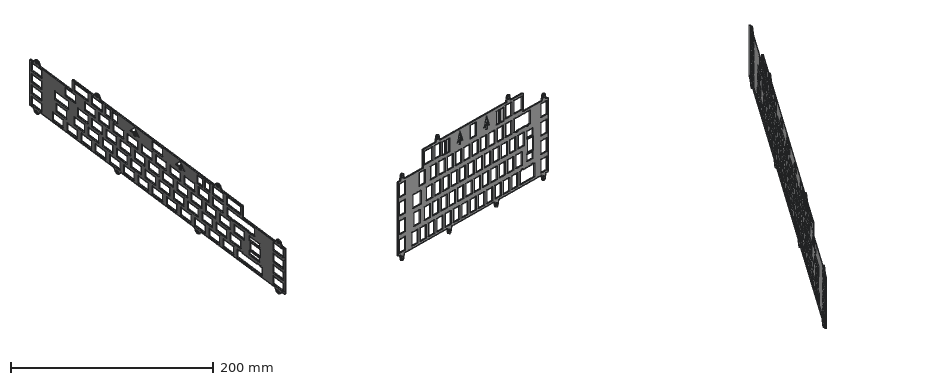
import cadquery as cq

LENGTH = 343.0
COLUMNS = 18
PITCH = LENGTH / COLUMNS
THICKNESS = 1.5
HEIGHT = 108.5

MAIN_ROWS = 4
ALL_ROWS = 5
STEP_START = 3
STEP_END = 15
CORNER_RADIUS = 1.0

TAB_REACH = (HEIGHT - ALL_ROWS * PITCH) / 2
TAB_RADIUS = 3.0
TAB_BASE_WIDTH = 9.3
TAB_HOLE_DIAMETER = 3.0
CORNER_TABS = (0.5, COLUMNS - 0.5)
STEP_TABS = (4.75, COLUMNS - 4.75)
LOWER_TAB_SPACING = 107.5
LOWER_TABS = [(COLUMNS + side * LOWER_TAB_SPACING / PITCH) / 2 for side in (-1, 1)]

WEB = 5.0
SWITCH = PITCH - WEB
WIDE_SWITCH = SWITCH + PITCH / 4
BACKSPACE_WIDTH = 36.7
SHIFT_WIDTH = 33.3

STABILIZER_WIDTH = 7.2
STABILIZER_LENGTH = SWITCH
STABILIZER_OFFSET = 1.0
STABILIZER_SPACING = 24.0
NOTCH_WIDTH = 4.0
NOTCH_DEPTH = 1.0

SWITCH_COLUMNS = {
    0.5: [0.5, *range(2, 15), COLUMNS - 0.5],
    1.5: [0.5, 2.25, *(3.5 + key for key in range(12)), COLUMNS - 0.5],
    2.5: [0.5, *(3.75 + key for key in range(12)), COLUMNS - 0.5],
    3.5: [0.5, 2.875, *(4.25 + key for key in range(10)), COLUMNS - 0.5],
    4.5: [4.75, COLUMNS / 2, 13.25],
}
WIDE_SWITCHES = ((2.25, 2.5), (3.625, 4.5), (14.375, 4.5))
BACKSPACE = (14.875, 3.5)
SHIFT = (15.5, 0.5)
ENTER = (15.875, 2)
TOP_STABILIZER_COLUMNS = (5.5, 6, 12, 12.5)
TOP_ROW = 4.5

ARROW_COLUMNS = (7.4, COLUMNS - 7.4)
ARROW_TIP = 7.2
ARROW_NOTCH = 1.0
ARROW_FOOT = -3.5
ARROW_HALF_WIDTH = 6.2
ARROW_INNER_HALF_WIDTH = 2.5
ARROW_SLOT_WIDTH = 2.7
ARROW_SLOT_HEIGHT = 4.0
ARROW_SLOT_CENTRE = -4.5


def place(column, row):
    """Turn a position in key units, from the lower left corner, into centred X and Z."""
    return (column - COLUMNS / 2) * PITCH, (row - ALL_ROWS / 2) * PITCH


def sketch():
    """A workplane on the front face, with its normal toward -Y."""
    return cq.Workplane("XZ", origin=(0, -THICKNESS / 2, 0))


def solid(outline):
    """Extrude a closed outline through the plate thickness."""
    return outline.extrude(-THICKNESS)


def window(x, z, width, height):
    """A rectangular block as deep as the plate, centred on the point (x, z)."""
    return solid(sketch().center(x, z).rect(width, height))


def join(pieces):
    """Fuse overlapping or touching pieces into one."""
    joined = pieces[0]
    for piece in pieces[1:]:
        joined = joined.union(piece)
    return joined


def block(first_column, last_column, rows):
    """A plate with rounded corners that rises from the lower edge over some rows."""
    x, z = place((first_column + last_column) / 2, rows / 2)
    plate = window(x, z, (last_column - first_column) * PITCH, rows * PITCH)
    return plate.edges("|Y").fillet(CORNER_RADIUS)


def tab(column, row, direction):
    """A tapered tab with a round end and a screw hole; direction is +1 for up, -1 for down."""
    x, edge = place(column, row)
    centre = edge + direction * (TAB_REACH - TAB_RADIUS)
    taper = [
        (x - TAB_BASE_WIDTH / 2, edge),
        (x + TAB_BASE_WIDTH / 2, edge),
        (x + TAB_RADIUS, centre),
        (x - TAB_RADIUS, centre),
    ]
    body = solid(sketch().polyline(taper).close())
    end = solid(sketch().center(x, centre).circle(TAB_RADIUS))
    hole = solid(sketch().center(x, centre).circle(TAB_HOLE_DIAMETER / 2))
    return body.union(end).cut(hole)


def tabs():
    """Two tabs on each upper level and four along the lower edge."""
    for column in CORNER_TABS:
        yield tab(column, MAIN_ROWS, 1)
    for column in STEP_TABS:
        yield tab(column, ALL_ROWS, 1)
    for column in (*CORNER_TABS, *LOWER_TABS):
        yield tab(column, 0, -1)


def switch_windows():
    """Windows of the keys that need no stabilizer notches."""
    for row, columns in SWITCH_COLUMNS.items():
        for column in columns:
            yield window(*place(column, row), SWITCH, SWITCH)
    for position in WIDE_SWITCHES:
        yield window(*place(*position), WIDE_SWITCH, SWITCH)
    yield window(*place(*ENTER), SWITCH, SWITCH)


def long_window(position, width, notch_side):
    """A long key window with two stabilizer notches above (+1) or below (-1) it."""
    x, z = place(*position)
    opening = window(x, z, width, SWITCH)
    for side in (-1, 1):
        notch_x = x + side * STABILIZER_SPACING / 2
        notch_z = z + notch_side * NOTCH_DEPTH / 2
        opening = opening.union(window(notch_x, notch_z, NOTCH_WIDTH, SWITCH + NOTCH_DEPTH))
    return opening


def stabilizer_windows():
    """Upright slots in the top row and lying slots above and below the enter key."""
    for column in TOP_STABILIZER_COLUMNS:
        x, z = place(column, TOP_ROW)
        yield window(x, z - STABILIZER_OFFSET, STABILIZER_WIDTH, STABILIZER_LENGTH)
    x, z = place(*ENTER)
    for side in (-1, 1):
        slot_z = z + side * STABILIZER_SPACING / 2
        yield window(x - STABILIZER_OFFSET, slot_z, STABILIZER_LENGTH, STABILIZER_WIDTH)


def arrow_windows():
    """Upward chevrons, each with a short slot below its notch."""
    chevron = [
        (0, ARROW_TIP),
        (ARROW_HALF_WIDTH, ARROW_FOOT),
        (ARROW_INNER_HALF_WIDTH, ARROW_FOOT),
        (0, ARROW_NOTCH),
        (-ARROW_INNER_HALF_WIDTH, ARROW_FOOT),
        (-ARROW_HALF_WIDTH, ARROW_FOOT),
    ]
    for column in ARROW_COLUMNS:
        x, z = place(column, TOP_ROW)
        yield solid(sketch().center(x, z).polyline(chevron).close())
        yield window(x, z + ARROW_SLOT_CENTRE, ARROW_SLOT_WIDTH, ARROW_SLOT_HEIGHT)


blocks = [block(0, COLUMNS, MAIN_ROWS), block(STEP_START, STEP_END, ALL_ROWS)]
openings = [
    *switch_windows(),
    *stabilizer_windows(),
    *arrow_windows(),
    long_window(BACKSPACE, BACKSPACE_WIDTH, -1),
    long_window(SHIFT, SHIFT_WIDTH, 1),
]
plate = join([*blocks, *tabs()])
cutters = [opening.val() for opening in openings]
result = plate.newObject([plate.val().cut(*cutters)])